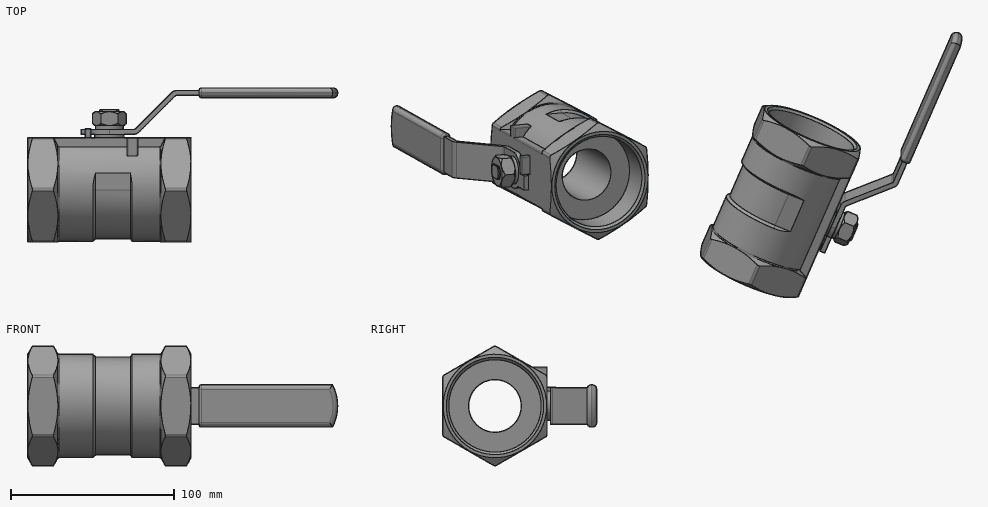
import cadquery as cq
import math


overall_length = 190.0
overall_height = 94.4

housing_length = 100.0
hex_flats = 64.0
hex_corner_radius = 1.9
hex_width = 18.6
end_face_radius = 31.7
barrel_radius = 31.7
root_fillet = 1.0
cone_angle = math.radians(30)

thread_diameter = 56.5
thread_mouth_diameter = 59.6
thread_depth = 21.8
port_diameter = 32.0

recess_start = 39.9
recess_end = 64.0
recess_floor_radius = 30.0
recess_start_slope = 1.7
recess_end_slope = 1.1
cut_overrun = 1.0

pad_half_width = 17.7
lug_start = 60.8
lug_length = 6.6
lug_reach = 24.0
boss_diameter = 18.0
stop_start = 35.1
stop_width = 11.5
stop_top = 37.5
cast_edge_radius = 0.5

plate_thickness = 3.0
plate_width = 22.6
lever_rise = 24.0
lower_bend = 66.0
bend_radius = 1.9
tab_end = 32.7
tab_width = 9.0
grip_start = 105.0
grip_thickness = 6.0
grip_width = 26.0
grip_tip_bulge = 3.2
grip_edge_radius = 2.8
grip_mouth_radius = 1.3

washer_diameter = 17.0
washer_height = 2.3
nut_flats = 18.0
nut_height = 8.7
nut_corner_chamfer = 1.5
stem_diameter = 12.0
stem_flats = 8.0
stem_projection = 1.3
stem_chamfer = 0.5

stem_x = housing_length / 2
flat_y = hex_flats / 2
grip_centre_y = overall_height - flat_y - grip_thickness / 2
plate_centre_y = grip_centre_y - lever_rise
plate_bottom = plate_centre_y - plate_thickness / 2
plate_top = plate_centre_y + plate_thickness / 2
nut_bottom = plate_top + washer_height
nut_top = nut_bottom + nut_height


def box(x_range, y_range, z_range):
    """Box between two limits on each axis."""
    (x0, x1), (y0, y1), (z0, z1) = x_range, y_range, z_range
    return cq.Workplane(cq.Solid.makeBox(x1 - x0, y1 - y0, z1 - z0, cq.Vector(x0, y0, z0)))


def stem_plane(y):
    """Plane square to the stem axis at height y, facing away from the housing."""
    return cq.Workplane(cq.Plane(origin=(stem_x, y, 0), xDir=(1, 0, 0), normal=(0, 1, 0)))


def flow_cylinder(diameter, start, length):
    """Cylinder on the flow axis."""
    return cq.Workplane("YZ").workplane(offset=start).circle(diameter / 2).extrude(length)


def hexagon_end():
    """Hexagon with rounded corners, starting at x = 0 and blended into the barrel by a small root fillet."""
    corner_radius = hex_flats / 2 / math.cos(math.pi / 6)
    slope = math.tan(cone_angle)
    sine = math.sin(cone_angle)
    cosine = math.cos(cone_angle)
    outer_cone_length = (corner_radius - end_face_radius) * slope
    inner_cone_length = (corner_radius - barrel_radius) * slope

    turn = math.pi / 2 - cone_angle
    tangent_length = root_fillet * math.tan(turn / 2)
    fillet_end = hex_width + tangent_length
    fillet_start = (hex_width - tangent_length * sine, barrel_radius + tangent_length * cosine)
    fillet_middle = (
        fillet_end - root_fillet * math.sin(turn / 2),
        barrel_radius + root_fillet * (1 - math.cos(turn / 2)),
    )
    envelope = (
        cq.Workplane("XY")
        .moveTo(0, 0)
        .lineTo(0, end_face_radius)
        .lineTo(outer_cone_length, corner_radius)
        .lineTo(hex_width - inner_cone_length, corner_radius)
        .lineTo(*fillet_start)
        .threePointArc(fillet_middle, (fillet_end, barrel_radius))
        .lineTo(fillet_end, 0)
        .close().revolve(360, (0, 0, 0), (1, 0, 0))
    )
    hexagon = (
        cq.Workplane("YZ").transformed(rotate=(0, 0, 90))
        .polygon(6, 2 * corner_radius).extrude(fillet_end)
        .edges("|X").fillet(hex_corner_radius)
    )
    return hexagon.intersect(envelope)


def recess_cutter():
    """Half ring around the -Y side, running out straight toward +Y on both flanks."""
    outer = barrel_radius + cut_overrun
    slope_ratio = (outer - recess_floor_radius) / (barrel_radius - recess_floor_radius)
    floor_start = recess_start + recess_start_slope
    floor_end = recess_end - recess_end_slope
    section = [
        (floor_start, recess_floor_radius),
        (floor_end, recess_floor_radius),
        (floor_end + recess_end_slope * slope_ratio, outer),
        (floor_start - recess_start_slope * slope_ratio, outer),
    ]
    half_ring = (
        cq.Workplane("XZ").polyline(section).close()
        .revolve(180, (0, 0, 0), (1, 0, 0))
    )
    flank = cq.Workplane("XZ").polyline(section).close().extrude(-barrel_radius / 2)
    return half_ring.union(flank).union(flank.mirror("XY"))


def make_housing():
    barrel_length = housing_length - 2 * hex_width
    barrel = flow_cylinder(2 * barrel_radius, hex_width, barrel_length).cut(recess_cutter())

    left_end = hexagon_end()
    right_end = left_end.mirror("YZ").translate((housing_length, 0, 0))

    pad_ends = (hex_width / 2, housing_length - hex_width / 2)
    pad = box(pad_ends, (0, flat_y), (-pad_half_width, pad_half_width))
    pad = pad.edges("|X and >Y").fillet(cast_edge_radius)
    lug_root = math.sqrt(barrel_radius ** 2 - lug_reach ** 2)
    lug = box((lug_start, lug_start + lug_length), (lug_root, flat_y), (0, lug_reach))
    lug = lug.edges("(|Y and >Z) or (|Z and >Y) or (>Y and >Z)").fillet(cast_edge_radius)
    boss = stem_plane(0).circle(boss_diameter / 2).extrude(plate_bottom)
    stop_end = stem_x - plate_width / 2
    stop = box((stop_start, stop_end), (recess_floor_radius, stop_top), (0, stop_width))
    stop = stop.edges("|Y or >Y").fillet(cast_edge_radius)

    housing = barrel.union(left_end).union(right_end).union(pad).union(lug).union(boss).union(stop)

    mouth_depth = (thread_mouth_diameter - thread_diameter) / 2
    mouth = (
        cq.Workplane("YZ").circle(thread_mouth_diameter / 2)
        .workplane(offset=mouth_depth).circle(thread_diameter / 2).loft()
    )
    counterbore = flow_cylinder(thread_diameter, 0, thread_depth).union(mouth)
    port = flow_cylinder(port_diameter, 0, housing_length)
    far_counterbore = counterbore.mirror("YZ").translate((housing_length, 0, 0))
    return housing.cut(port).cut(counterbore).cut(far_counterbore)


def lever_plate():
    """Bent strip with a round end about the stem and a tab resting beside the stop."""
    half = plate_thickness / 2
    bend_shift = half * math.tan(math.radians(22.5))
    upper_bend = lower_bend + lever_rise
    strip_end = grip_start + grip_thickness
    strip = (
        cq.Workplane("XY").workplane(offset=-plate_width / 2)
        .polyline([
            (stem_x, plate_bottom),
            (lower_bend + bend_shift, plate_bottom),
            (upper_bend + bend_shift, grip_centre_y - half),
            (strip_end, grip_centre_y - half),
            (strip_end, grip_centre_y + half),
            (upper_bend - bend_shift, grip_centre_y + half),
            (lower_bend - bend_shift, plate_top),
            (stem_x, plate_top),
        ])
        .close().extrude(plate_width)
    )
    lower_inside = (lower_bend - bend_shift, plate_top, 0)
    lower_outside = (lower_bend + bend_shift, plate_bottom, 0)
    upper_inside = (upper_bend + bend_shift, grip_centre_y - half, 0)
    upper_outside = (upper_bend - bend_shift, grip_centre_y + half, 0)
    for inside, outside in ((lower_inside, lower_outside), (upper_inside, upper_outside)):
        strip = strip.edges(cq.NearestToPointSelector(inside)).fillet(bend_radius)
        strip = strip.edges(cq.NearestToPointSelector(outside)).fillet(bend_radius + plate_thickness)
    round_end = stem_plane(plate_bottom).circle(plate_width / 2).extrude(plate_thickness)
    tab = box((tab_end, stem_x), (plate_bottom, plate_top), (-tab_width, 0))
    return strip.union(round_end).union(tab)


def grip():
    """Sleeve on the lever, with rounded long edges and a bulging tip."""
    half_width = grip_width / 2
    shoulder = overall_length - grip_tip_bulge
    sleeve = (
        cq.Workplane("XZ", origin=(0, grip_centre_y + grip_thickness / 2, 0))
        .moveTo(grip_start, -half_width)
        .lineTo(shoulder, -half_width)
        .threePointArc((overall_length, 0), (shoulder, half_width))
        .lineTo(grip_start, half_width)
        .close().extrude(grip_thickness)
    )
    sleeve = sleeve.edges("(>Y or <Y) and (not <X)").fillet(grip_edge_radius)
    return sleeve.faces("<X").edges().fillet(grip_mouth_radius)


def stem_and_nut():
    """Washer, hexagon nut and the flattened stem tip, stacked on the lever plate."""
    washer = stem_plane(plate_top).circle(washer_diameter / 2).extrude(washer_height)
    nut_corners = nut_flats / math.cos(math.pi / 6)
    nut = stem_plane(nut_bottom).polygon(6, nut_corners).extrude(nut_height)
    corner_cones = (
        stem_plane(nut_bottom).circle(nut_corners / 2).extrude(nut_height)
        .edges("%CIRCLE").chamfer(nut_corner_chamfer)
    )
    tip = (
        stem_plane(nut_top).circle(stem_diameter / 2).extrude(stem_projection)
        .faces(">Y").chamfer(stem_chamfer)
    )
    tip_flats = stem_plane(nut_top).rect(stem_diameter, stem_flats).extrude(stem_projection)
    return washer.union(nut.intersect(corner_cones)).union(tip.intersect(tip_flats))


def make_lever():
    return lever_plate().union(grip()).union(stem_and_nut())


housing = make_housing()
lever = make_lever()

result = cq.Compound.makeCompound([housing.val(), lever.val()])